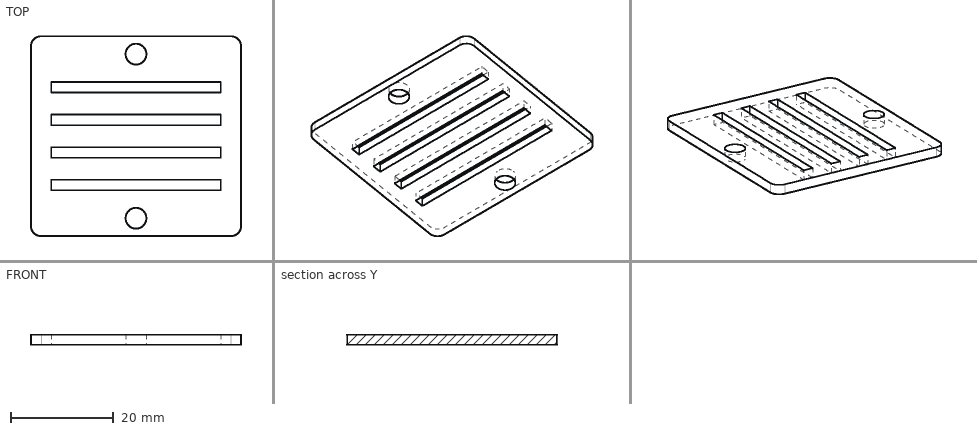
import cadquery as cq

length = 41.0
width = 39.0
thickness = 2.0
corner_radius = 2.0

slot_count = 4
slot_length = 33.0
slot_width = 2.0
slot_pitch = 6.35

hole_diameter = 4.0
hole_spacing = 32.0

plate = (
    cq.Workplane("XY")
    .rect(length, width)
    .extrude(thickness)
    .edges("|Z")
    .fillet(corner_radius)
)

slots = (
    cq.Workplane("XY")
    .rarray(length, slot_pitch, 1, slot_count)
    .rect(slot_length, slot_width)
    .extrude(thickness)
)

holes = (
    cq.Workplane("XY")
    .rarray(length, hole_spacing, 1, 2)
    .circle(hole_diameter / 2)
    .extrude(thickness)
)

result = plate.cut(slots).cut(holes)